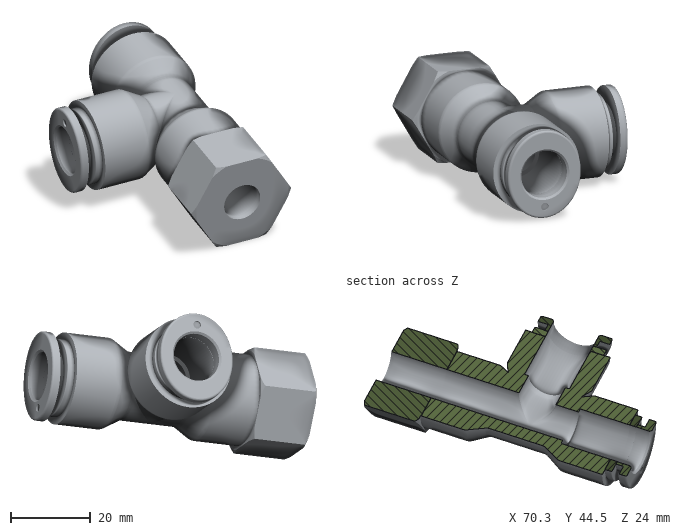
import cadquery as cq
import math

run_end = 39.7
arm_reach = 30.6

tee_dia = 23.2
waist_dia = 17.4
tee_arm_length = 24.75
taper_start = 7.7
taper_angle = 30.0
taper_fillet = 1.8
flow_dia = 10.0
tube_dia = 12.15
tube_stop = 11.25

collar_dia = 19.6
collar_length = 1.8
collar_fillet = 0.2

neck_dia = 14.2
sleeve_bore_dia = 12.2
flange_width = 19.6
flange_height = 22.8
flange_thickness = 2.1
rim_fillet = 0.5
mouth_chamfer = 0.5
mark_dia = 2.0
mark_depth = 0.4
mark_offset = 8.4

nut_across_flats = 24.0
nut_chamfer_dia = 25.45
nut_chamfer_angle = 30.0

taper_rise = (tee_dia - waist_dia) / 2
taper_end = taper_start + taper_rise / math.tan(math.radians(taper_angle))
collar_end = tee_arm_length + collar_length
nut_length = run_end - tee_arm_length
nut_corner_dia = nut_across_flats / math.cos(math.radians(30))
nut_chamfer_radial = (nut_corner_dia - nut_chamfer_dia) / 2
nut_chamfer_axial = nut_chamfer_radial * math.tan(math.radians(nut_chamfer_angle))


def rod(dia, near, far):
    """Cylinder on the X axis reaching from -near to -far."""
    return cq.Workplane("YZ", origin=(-near, 0, 0)).circle(dia / 2).extrude(near - far)


def to_branch(body):
    """Turn a body of the -X arm about Z so that it sits on the -Y arm."""
    return body.rotate((0, 0, 0), (0, 0, 1), 90)


def tee_arm(filleted_corners):
    """Outside of the -X arm: waist, taper and barrel, filleted at the given distances along it."""
    profile = [
        (0, 0),
        (0, waist_dia / 2),
        (-taper_start, waist_dia / 2),
        (-taper_end, tee_dia / 2),
        (-tee_arm_length, tee_dia / 2),
        (-tee_arm_length, 0),
    ]
    arm = cq.Workplane("XY").polyline(profile).close().revolve(360, (0, 0, 0), (1, 0, 0))
    corner_edges = [
        edge
        for edge in arm.edges("%CIRCLE").vals()
        if any(math.isclose(-edge.Center().x, corner) for corner in filleted_corners)
    ]
    return arm.newObject(corner_edges).fillet(taper_fillet)


def arm_socket():
    """Bore of the -X arm: flow passage to the origin and wider tube bore."""
    passage = rod(flow_dia, 0, tee_arm_length)
    tube_bore = rod(tube_dia, tube_stop, tee_arm_length)
    return passage.union(tube_bore)


def make_tee():
    run_arm = tee_arm([taper_start, taper_end])
    branch_arm = to_branch(tee_arm([taper_end]))
    socket = arm_socket()
    outside = run_arm.union(run_arm.mirror("YZ")).union(branch_arm)
    run_passage = rod(flow_dia, -tee_arm_length, tee_arm_length)
    return outside.cut(run_passage).cut(socket).cut(to_branch(socket))


def make_collar():
    """Ring against the end face of the -X arm."""
    ring = rod(collar_dia, tee_arm_length, collar_end).faces("<X").edges().fillet(collar_fillet)
    return ring.cut(rod(tube_dia, tee_arm_length, collar_end))


def make_sleeve():
    """Oval-flanged sleeve outside the collar of the -X arm, with its round mark below the bore."""
    flange = (
        cq.Workplane("YZ", origin=(-arm_reach, 0, 0))
        .ellipse(flange_width / 2, flange_height / 2)
        .extrude(flange_thickness)
        .faces("<X").edges().fillet(rim_fillet)
    )
    neck = rod(neck_dia, collar_end, arm_reach - flange_thickness)
    bore = rod(sleeve_bore_dia, collar_end, arm_reach)
    mark = rod(mark_dia, arm_reach - mark_depth, arm_reach).translate((0, 0, -mark_offset))
    mouth_edge = cq.selectors.RadiusNthSelector(0)
    sleeve = flange.union(neck).cut(bore)
    sleeve = sleeve.faces("<X").edges("%CIRCLE").edges(mouth_edge).chamfer(mouth_chamfer)
    return sleeve.cut(mark)


def make_nut():
    """Hexagon nut with corners toward +Y and -Y and both ends chamfered."""
    start = cq.Workplane("YZ", origin=(tee_arm_length, 0, 0))
    hexagon = start.polygon(6, nut_corner_dia).extrude(nut_length)
    envelope = (
        start.circle(nut_corner_dia / 2)
        .extrude(nut_length)
        .faces("<X or >X")
        .chamfer(nut_chamfer_axial, nut_chamfer_radial)
    )
    return hexagon.intersect(envelope).cut(rod(flow_dia, -tee_arm_length, -run_end))


tee = make_tee()
nut = make_nut()
collar = make_collar()
sleeve = make_sleeve()
branch_sleeve = to_branch(sleeve.rotate((0, 0, 0), (1, 0, 0), 180))
collars = [collar, to_branch(collar)]
sleeves = [sleeve, branch_sleeve]

result = cq.Compound.makeCompound(
    [tee.val(), nut.val()] + [body.val() for body in collars + sleeves]
)